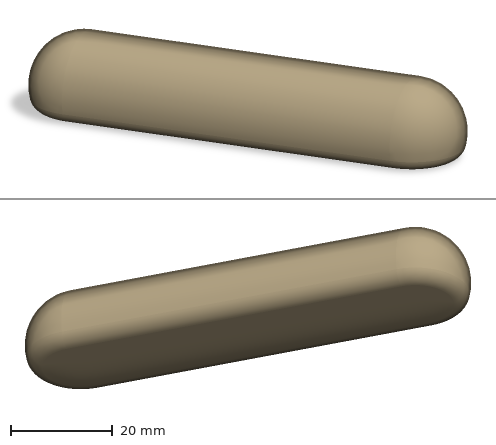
import cadquery as cq
import math

length = 92.0
height = 16.0
width = 22.0
edge_radius = 3.0

radius = width / 2

straight_length = length - 2 * radius
base_z = radius - height

edge_center_z = base_z + edge_radius
center_distance = radius - edge_radius
flat_half_width = math.sqrt(center_distance**2 - edge_center_z**2)
edge_angle = math.atan2(edge_center_z, flat_half_width)
tangent_y = radius * math.cos(edge_angle)
tangent_z = radius * math.sin(edge_angle)
edge_mid_angle = (edge_angle - math.pi / 2) / 2
edge_mid_y = flat_half_width + edge_radius * math.cos(edge_mid_angle)
edge_mid_z = edge_center_z + edge_radius * math.sin(edge_mid_angle)
body_mid_angle = (math.pi / 2 + edge_angle) / 2
body_mid_y = radius * math.cos(body_mid_angle)
body_mid_z = radius * math.sin(body_mid_angle)


def full_section():
    """Whole cross-section of the straight stretch."""
    return (
        cq.Workplane("YZ", origin=(-straight_length / 2, 0, 0))
        .moveTo(-flat_half_width, base_z)
        .lineTo(flat_half_width, base_z)
        .threePointArc((edge_mid_y, edge_mid_z), (tangent_y, tangent_z))
        .threePointArc((0, radius), (-tangent_y, tangent_z))
        .threePointArc((-edge_mid_y, edge_mid_z), (-flat_half_width, base_z))
        .close()
    )


def half_section():
    """Half of the cross-section at the +X end, closed along the vertical centre line."""
    return (
        cq.Workplane("YZ", origin=(straight_length / 2, 0, 0))
        .moveTo(0, base_z)
        .lineTo(flat_half_width, base_z)
        .threePointArc((edge_mid_y, edge_mid_z), (tangent_y, tangent_z))
        .threePointArc((body_mid_y, body_mid_z), (0, radius))
        .close()
    )


bar = full_section().extrude(straight_length)

right_dome = half_section().revolve(180, (0, 0, 0), (0, -1, 0))
left_dome = right_dome.mirror("YZ")

result = bar.union(right_dome).union(left_dome)